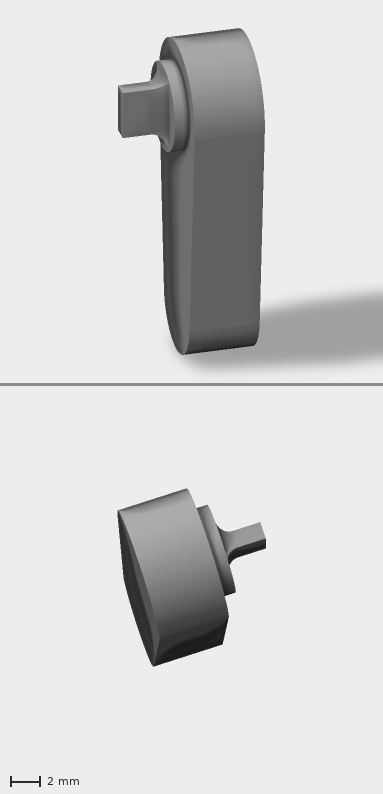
import cadquery as cq
import math

total_length = 23.67
pivot_radius = 4.675
tip_radius = 3.34
body_depth = 5.0
center_distance = total_length - pivot_radius - tip_radius

boss_diameter = 6.35
boss_depth = 1.0
blade_width = 1.2
blade_height = 3.48
blade_depth = 3.0
flare_radius = 1.0



def lever_body():
    flank_angle = math.asin((pivot_radius - tip_radius) / center_distance)
    pivot_x = pivot_radius * math.cos(flank_angle)
    pivot_z = -pivot_radius * math.sin(flank_angle)
    tip_x = tip_radius * math.cos(flank_angle)
    tip_z = -center_distance - tip_radius * math.sin(flank_angle)
    return (
        cq.Workplane("XZ")
        .moveTo(pivot_x, pivot_z)
        .threePointArc((0, pivot_radius), (-pivot_x, pivot_z))
        .lineTo(-tip_x, tip_z)
        .threePointArc((0, -center_distance - tip_radius), (tip_x, tip_z))
        .close()
        .extrude(-body_depth)
    )


def boss():
    return cq.Workplane("XZ").circle(boss_diameter / 2).extrude(boss_depth)


def flared_prism(plane, thickness, length):
    """Prism of a blade profile whose root spreads in concave quarter rounds.

    The second sketch axis is +Y, so the blade runs in its negative direction.
    """
    half = thickness / 2
    root = -boss_depth
    flare_end = root - flare_radius
    blade_end = root - blade_depth
    arc_inset = flare_radius * (1 - math.sqrt(0.5))
    arc_x = half + arc_inset
    arc_y = root - arc_inset
    return (
        cq.Workplane(plane)
        .moveTo(-half - flare_radius, root)
        .threePointArc((-arc_x, arc_y), (-half, flare_end))
        .lineTo(-half, blade_end)
        .lineTo(half, blade_end)
        .lineTo(half, flare_end)
        .threePointArc((arc_x, arc_y), (half + flare_radius, root))
        .close()
        .extrude(length / 2, both=True)
    )


def blade():
    across_width = flared_prism("XY", blade_width, boss_diameter)
    zy_plane = cq.Plane(origin=(0, 0, 0), xDir=(0, 0, 1), normal=(-1, 0, 0))
    across_height = flared_prism(zy_plane, blade_height, boss_diameter)
    return across_width.intersect(across_height)


result = lever_body().union(boss()).union(blade())